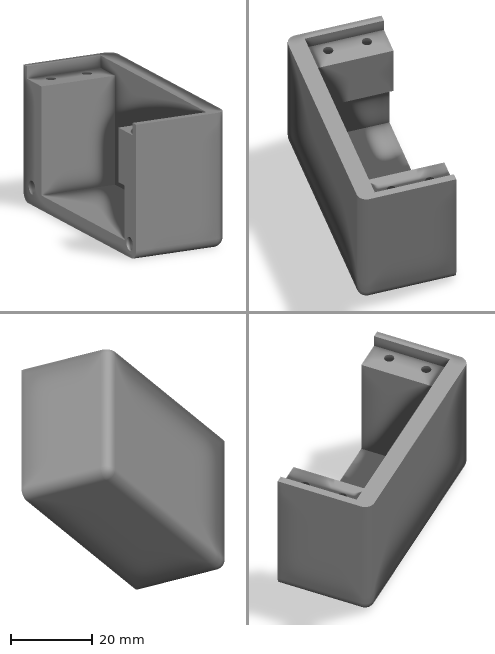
import cadquery as cq

length = 60.0
depth = 25.0
height = 35.0
edge_radius = 2.5

back_wall = 4.5
floor_thickness = 3.8
side_block_width = 9.55
cavity_depth = depth - back_wall

rim_width = 1.85
recess_depth = 3.2
ledge_z = height - recess_depth

undercut_width = 3.2
undercut_height = (ledge_z - floor_thickness) / 2

hole_depth = 10.0
front_hole_diameter = 3.5
left_hole_inset = 4.5
right_hole_inset = 3.5
ledge_hole_diameter = 2.5
ledge_hole_inset = 4.5
ledge_hole_spacing = 10.0
first_ledge_hole_y = 5.3


def make_body():
    """Block rounded along its back, bottom and side edges; front and top stay sharp."""
    body = cq.Workplane("XY").box(length, depth, height, centered=False)
    back_uprights = body.edges("|Z and >Y")
    bottom_sides = body.edges("|Y and <Z")
    bottom_back = body.edges("|X and >Y and <Z")
    return body.newObject(
        back_uprights.vals() + bottom_sides.vals() + bottom_back.vals()
    ).fillet(edge_radius)


def make_cavity():
    """Stepped opening, drawn on the front face and extended to the back wall."""
    right_block_x = length - side_block_width
    undercut_x = right_block_x + undercut_width
    undercut_top = floor_thickness + undercut_height
    outline = [
        (rim_width, height),
        (rim_width, ledge_z),
        (side_block_width, ledge_z),
        (side_block_width, floor_thickness),
        (undercut_x, floor_thickness),
        (undercut_x, undercut_top),
        (right_block_x, undercut_top),
        (right_block_x, ledge_z),
        (length - rim_width, ledge_z),
        (length - rim_width, height),
    ]
    return cq.Workplane("XZ").polyline(outline).close().extrude(-cavity_depth)


def make_front_holes():
    centers = [
        (left_hole_inset, left_hole_inset),
        (length - right_hole_inset, right_hole_inset),
    ]
    return cq.Workplane("XZ").pushPoints(centers).circle(front_hole_diameter / 2).extrude(-hole_depth)


def make_ledge_holes():
    centers = [
        (x, first_ledge_hole_y + row * ledge_hole_spacing)
        for x in (ledge_hole_inset, length - ledge_hole_inset)
        for row in range(2)
    ]
    ledge = cq.Workplane("XY").workplane(offset=ledge_z)
    return ledge.pushPoints(centers).circle(ledge_hole_diameter / 2).extrude(-hole_depth)


result = make_body().cut(make_cavity()).cut(make_front_holes()).cut(make_ledge_holes())